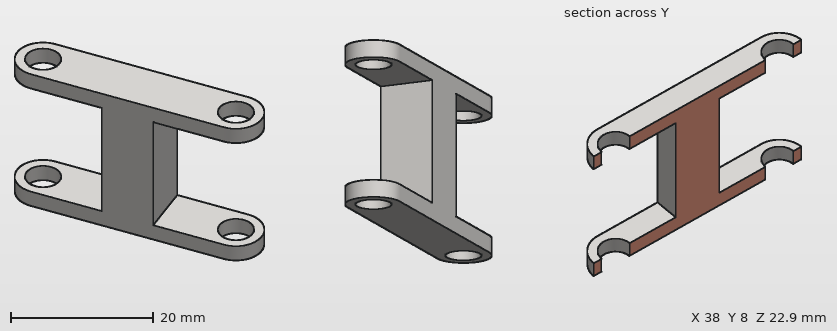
import cadquery as cq

length = 38.0
width = 8.0
height = 22.9
plate_thickness = 2.5
hole_diameter = 5.1

post_side = width
hole_spacing = length - width


def link_plate(bottom_z):
    """Round-ended plate with a through hole at each end."""
    return (
        cq.Workplane("XY", origin=(0, 0, bottom_z))
        .slot2D(length, width)
        .extrude(plate_thickness)
        .faces(">Z")
        .workplane(origin=(0, 0, bottom_z))
        .pushPoints([(-hole_spacing / 2, 0), (hole_spacing / 2, 0)])
        .hole(hole_diameter)
    )


post = cq.Workplane("XY").box(post_side, width, height)

lower_plate = link_plate(-height / 2)
upper_plate = link_plate(height / 2 - plate_thickness)
result = post.union(lower_plate).union(upper_plate).clean()